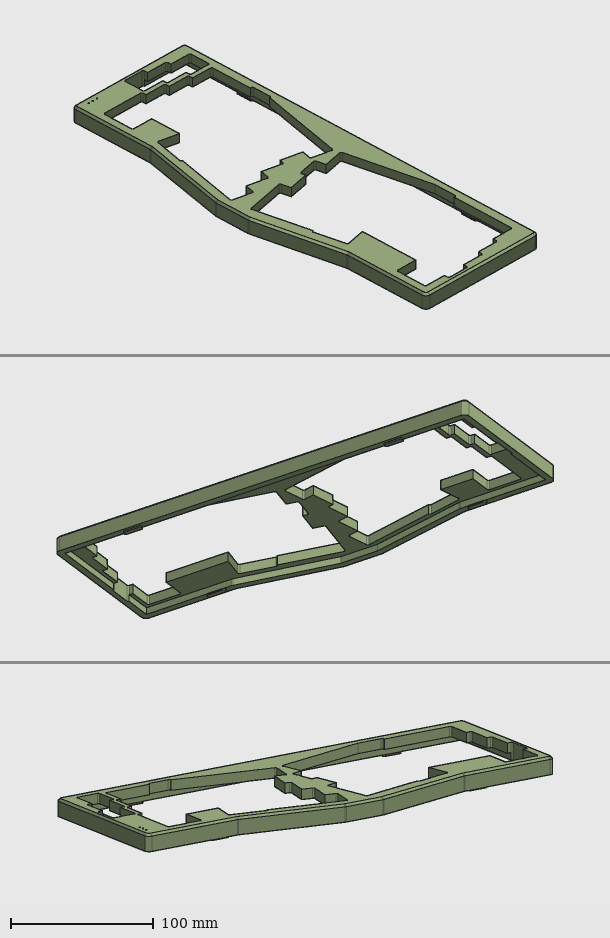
import cadquery as cq
import math


length = 346.8
side_depth = 112.7
front_drop = 16.5
front_flat_half = 16.0
front_bend_x = 96.5
overall_height = 14.2
foot_height = 1.2
body_height = overall_height - foot_height
corner_radius = 3.8
front_bend_radius = 5.2
top_chamfer = 1.7

plate_thickness = 7.5
rim_thickness = 5.2

key_pitch = 19.0
row_count = 5
half_pitch = key_pitch / 2
quarter_pitch = key_pitch / 4
row_stagger = 4.0
opening_radius = 1.25
straight_top = 103.5
straight_bottom = straight_top - row_count * key_pitch
corner_key_top = straight_bottom + key_pitch
niche_top = 105.5
niche_outer_x = 100.0
left_niche_inner_x = -81.5

cluster_angle = math.radians(12.0)
first_row_u = 21.0
right_cluster_top_w = 86.7
cluster_offset_w = 1.9
left_cluster_top_w = right_cluster_top_w - cluster_offset_w
bottom_step = 1.45
right_step_u = 58.5
right_cluster_end_u = 88.5
left_step_u = right_step_u + half_pitch
left_cluster_end_u = right_cluster_end_u + half_pitch

right_first_row_x = 156.8
right_corner_inner_x = 137.0
left_first_row_x = -137.7
left_corner_inner_x = -121.7

macro_count = 3
macro_first_x = -161.0

indicator_diameter = 1.0
indicator_x = -167.0
indicator_first_y = 10.5
indicator_spacing = 4.0
indicator_count = 3

foot_length = 15.5
foot_width = 3.5
foot_x = 110.0
foot_inset = 3.8


def body_outline(inset):
    """Outer outline moved inward by `inset`."""
    half = length / 2
    points = [
        (-half, side_depth),
        (-half, 0),
        (-front_bend_x, 0),
        (-front_flat_half, -front_drop),
        (front_flat_half, -front_drop),
        (front_bend_x, 0),
        (half, 0),
        (half, side_depth),
    ]
    outline = cq.Workplane("XY").polyline(points).close()
    if inset:
        outline = outline.offset2D(-inset)
    return outline


def make_body():
    body = body_outline(0).extrude(body_height)
    body = body.edges("|Z").edges("not(<X or >X)").fillet(front_bend_radius)
    body = body.edges("|Z").edges("<X or >X").fillet(corner_radius)
    return body.faces(">Z").edges().chamfer(top_chamfer)


def make_hollow():
    return body_outline(rim_thickness).extrude(body_height - plate_thickness)


def staircase(positions, top):
    """(position, level) corners of a wall that steps sideways from row to row, back to front."""
    corners = []
    for row, position in enumerate(positions):
        level = top - row * key_pitch
        if corners and corners[-1][0] == position:
            corners.pop()
        else:
            corners.append((position, level))
        corners.append((position, level - key_pitch))
    return corners


def cluster_point(side, u, w):
    """Point (u, w) of an angled cluster; side is 1 for the right half, -1 for the left."""
    x = u * math.cos(cluster_angle) - w * math.sin(cluster_angle)
    y = u * math.sin(cluster_angle) + w * math.cos(cluster_angle)
    return (side * x, y)


def cluster_wall(side, top_w, row_ends, step_u, end_u):
    """Inner end, sloped front and outer end of a cluster, starting at its back inner corner."""
    upper_w = top_w - row_count * key_pitch
    lower_w = upper_w - bottom_step
    end_w = (corner_key_top - end_u * math.sin(cluster_angle)) / math.cos(cluster_angle)
    corners = staircase(row_ends, top_w)
    corners += [(step_u, upper_w), (step_u, lower_w), (end_u, lower_w), (end_u, end_w)]
    return [cluster_point(side, u, w) for u, w in corners]


def opening(points):
    """Cutter through the body, with its outward corners rounded; the points run clockwise."""
    prism = cq.Workplane("XY").polyline(points).close().extrude(body_height)
    following = points[1:] + points[:1]
    rounded_edges = []
    for i, (x, y) in enumerate(points):
        before_x, before_y = points[i - 1]
        after_x, after_y = following[i]
        turn = (x - before_x) * (after_y - y) - (y - before_y) * (after_x - x)
        if turn < 0:
            nearest = cq.NearestToPointSelector((x, y, body_height / 2))
            rounded_edges.append(prism.edges("|Z").edges(nearest).val())
    return prism.newObject(rounded_edges).fillet(opening_radius)


def make_right_opening():
    row_ends = [
        first_row_u,
        first_row_u - half_pitch,
        first_row_u - quarter_pitch,
        first_row_u - 3 * quarter_pitch,
        first_row_u - 3 * quarter_pitch,
    ]
    cluster = cluster_wall(1, right_cluster_top_w, row_ends, right_step_u, right_cluster_end_u)
    row_xs = [right_first_row_x + steps * row_stagger for steps in (0, 1, 2, 3, 2)]
    back_edge_rise = niche_top - right_cluster_top_w / math.cos(cluster_angle)
    niche_inner_x = back_edge_rise / math.tan(cluster_angle)
    return opening([
        (niche_inner_x, niche_top),
        (niche_outer_x, niche_top),
        (niche_outer_x, straight_top),
        *staircase(row_xs, straight_top),
        (right_corner_inner_x, straight_bottom),
        (right_corner_inner_x, corner_key_top),
        *reversed(cluster),
    ])


def make_left_opening():
    row_ends = [
        first_row_u,
        first_row_u + half_pitch,
        first_row_u + quarter_pitch,
        first_row_u - quarter_pitch,
        first_row_u - 3 * quarter_pitch,
    ]
    cluster = cluster_wall(-1, left_cluster_top_w, row_ends, left_step_u, left_cluster_end_u)
    row_xs = [left_first_row_x - steps * row_stagger for steps in (0, 1, 2, 3, 3)]
    back_edge_at_middle = left_cluster_top_w / math.cos(cluster_angle)
    niche_inner_y = back_edge_at_middle - left_niche_inner_x * math.tan(cluster_angle)
    return opening([
        (-niche_outer_x, straight_top),
        (-niche_outer_x, niche_top),
        (left_niche_inner_x, niche_top),
        (left_niche_inner_x, niche_inner_y),
        *cluster,
        (left_corner_inner_x, corner_key_top),
        (left_corner_inner_x, straight_bottom),
        *reversed(staircase(row_xs, straight_top)),
    ])


def make_macro_opening():
    left_xs = [macro_first_x - row * row_stagger for row in range(macro_count)]
    right_xs = [x + key_pitch for x in left_xs]
    left_wall = staircase(left_xs, niche_top)
    right_wall = staircase(right_xs, niche_top)
    return opening(right_wall + left_wall[::-1])


def make_indicator_holes():
    spots = [
        (indicator_x, indicator_first_y + i * indicator_spacing)
        for i in range(indicator_count)
    ]
    holes = cq.Workplane("XY").pushPoints(spots).circle(indicator_diameter / 2)
    return holes.extrude(body_height)


def make_feet():
    spots = [
        (side * foot_x, y)
        for side in (-1, 1)
        for y in (foot_inset, side_depth - foot_inset)
    ]
    feet = cq.Workplane("XY").pushPoints(spots).slot2D(foot_length, foot_width)
    return feet.extrude(-foot_height)


result = (
    make_body()
    .cut(make_hollow())
    .cut(make_right_opening())
    .cut(make_left_opening())
    .cut(make_macro_opening())
    .cut(make_indicator_holes())
    .union(make_feet())
)